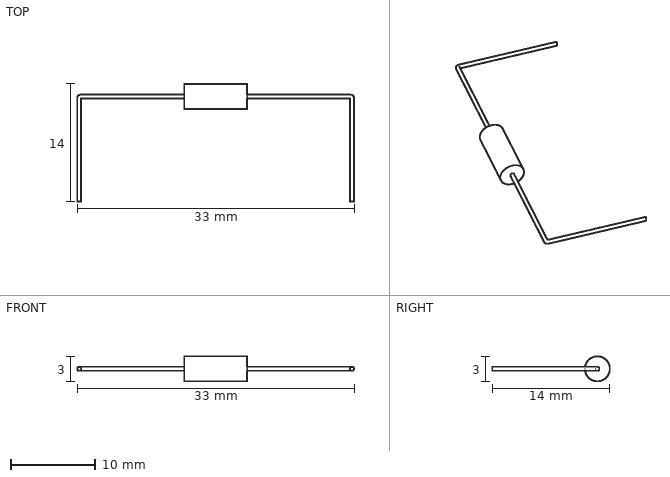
import cadquery as cq
import math

overall_length = 32.95
overall_depth = 14.0
body_diameter = 3.0
body_length = 7.5
wire_diameter = 0.5
bend_radius = 0.2

wire_radius = wire_diameter / 2
leg_x = overall_length / 2 - wire_radius
bend_start_x = leg_x - bend_radius
leg_tip_y = body_diameter / 2 - overall_depth
leg_length = -bend_radius - leg_tip_y


def rod_along_x(diameter, length):
    """Cylinder on the X axis, centred on the origin."""
    return cq.Workplane("YZ", origin=(-length / 2, 0, 0)).circle(diameter / 2).extrude(length)


def right_bend():
    """Quarter-turn elbow, from the part of the wire section outside the pivot axis."""
    half_chord = math.sqrt(wire_radius**2 - bend_radius**2)
    return (
        cq.Workplane("YZ", origin=(bend_start_x, 0, 0))
        .moveTo(-bend_radius, -half_chord)
        .threePointArc((wire_radius, 0), (-bend_radius, half_chord))
        .close()
        .revolve(90, (-bend_radius, 0.33, 0), (-bend_radius, 0, 0))
    )


def right_leg():
    """Straight leg running toward -Y from the end of the bend."""
    return (
        cq.Workplane("XZ", origin=(leg_x, -bend_radius, 0))
        .circle(wire_radius)
        .extrude(leg_length)
    )


body = rod_along_x(body_diameter, body_length)
straight_wire = rod_along_x(wire_diameter, 2 * bend_start_x)
bent_end = right_bend().union(right_leg())

result = body.union(straight_wire).union(bent_end).union(bent_end.mirror("YZ"))